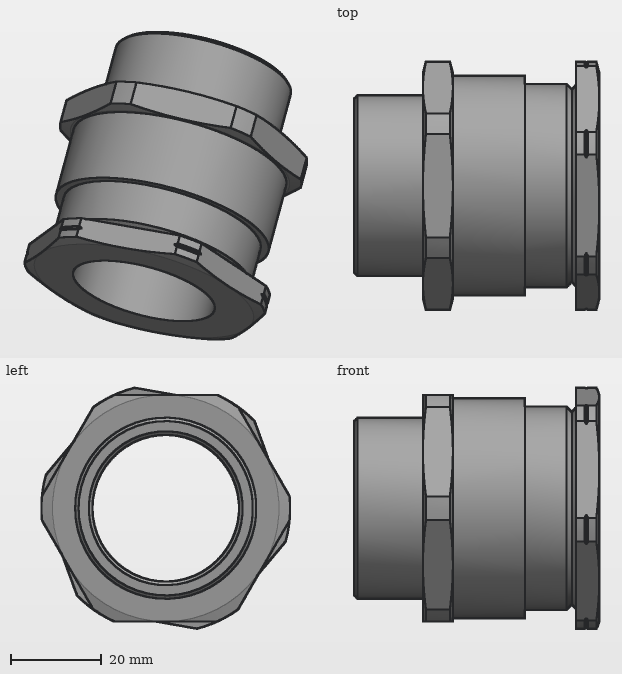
import cadquery as cq
import math

nose_radius = 20.0
nose_chamfer = 0.75
bore_radius = 16.15
mouth_radius = 17.0
mouth_depth = mouth_radius - bore_radius

corner_radius = 27.5
flat_distance = 25.0
hex_chamfer = 0.65
nut_turn = 10.0

flange_start = 15.15
flange_end = 21.75
body_end = 37.65
cap_end = 48.05
nut_start = 48.9
overall_length = 54.1

body_radius = 24.3
cap_radius = 22.5
cap_chamfer = 1.2
neck_radius = cap_radius - cap_chamfer
neck_flare = 1.0

groove_center = 51.25
groove_width = 0.75
groove_depth = 0.3


def revolve_profile(points):
    """Revolve (x, radius) points about the X axis."""
    return cq.Workplane("XY").polyline(points).close().revolve(360, (0, 0, 0), (1, 0, 0))


def hexagon(start, end, chamfer_start, turn):
    """Hexagon with round corners, chamfered at its end and optionally at its start."""
    across_corners = 2 * flat_distance / math.cos(math.radians(30))
    prism = (
        cq.Workplane("YZ", origin=(start, 0, 0))
        .polygon(6, across_corners)
        .extrude(end - start)
        .rotate((0, 0, 0), (1, 0, 0), turn)
    )
    profile = [(start, 0)]
    if chamfer_start:
        profile += [(start, flat_distance), (start + hex_chamfer, corner_radius)]
    else:
        profile += [(start, corner_radius)]
    profile += [(end - hex_chamfer, corner_radius), (end, flat_distance), (end, 0)]
    return prism.intersect(revolve_profile(profile))


def turned_body():
    """Solid of all the round outer steps."""
    return revolve_profile([
        (0, 0),
        (0, nose_radius - nose_chamfer),
        (nose_chamfer, nose_radius),
        (flange_start, nose_radius),
        (flange_start, body_radius),
        (body_end, body_radius),
        (body_end, cap_radius),
        (cap_end - cap_chamfer, cap_radius),
        (cap_end, neck_radius),
        (nut_start, neck_radius + neck_flare),
        (overall_length, neck_radius + neck_flare),
        (overall_length, 0),
    ])


def corner_groove():
    """V-shaped ring that notches only the nut corners."""
    outer_radius = corner_radius + groove_depth
    outer_half_width = groove_width
    return revolve_profile([
        (groove_center, corner_radius - groove_depth),
        (groove_center + outer_half_width, outer_radius),
        (groove_center - outer_half_width, outer_radius),
    ])


def bore():
    """Through hole with its conical mouth."""
    return revolve_profile([
        (0, 0),
        (0, mouth_radius),
        (mouth_depth, bore_radius),
        (overall_length, bore_radius),
        (overall_length, 0),
    ])


flange = hexagon(flange_start, flange_end, True, 0)
nut = hexagon(nut_start, overall_length, False, nut_turn).cut(corner_groove())
result = turned_body().union(flange).union(nut).cut(bore())